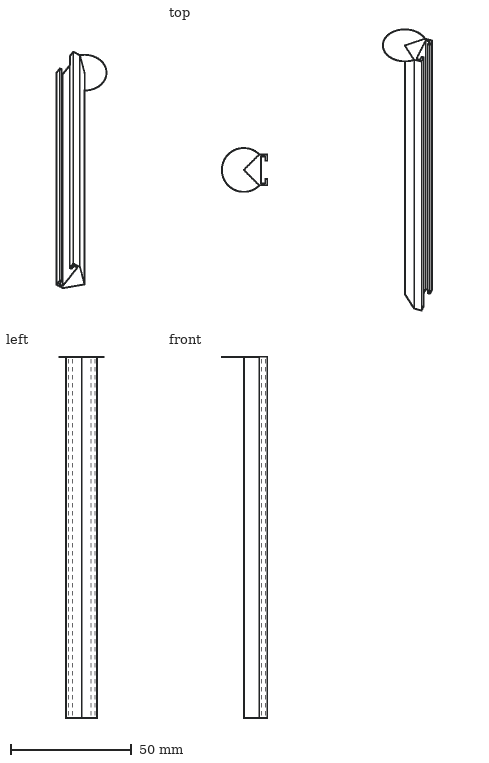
import cadquery as cq

length = 150.0
disc_radius = 9.2
disc_thickness = 0.2

half_width = 6.5
rail_depth = 9.8
channel_floor = 7.2
wall = 0.9
lip_reach = 2.7


def make_rail():
    """Extrude the symmetric section along the full length."""
    lip_inner = rail_depth - wall
    lip_tip = half_width - lip_reach
    channel_half_width = half_width - wall
    upper_half = [
        (0, 0),
        (half_width, half_width),
        (rail_depth, half_width),
        (rail_depth, lip_tip),
        (lip_inner, lip_tip),
        (lip_inner, channel_half_width),
        (channel_floor, channel_half_width),
    ]
    lower_half = [(x, -y) for x, y in reversed(upper_half[1:])]
    return cq.Workplane("XY").polyline(upper_half + lower_half).close().extrude(length)


def make_end_disc():
    """Thin disc flush with the top end, without the quarter in front of the nose."""
    disc = (
        cq.Workplane("XY", origin=(0, 0, length - disc_thickness))
        .circle(disc_radius)
        .extrude(disc_thickness)
    )
    notch = (
        cq.Workplane("XY", origin=(0, 0, length - disc_thickness))
        .polyline([(0, 0), (2 * disc_radius, 2 * disc_radius), (2 * disc_radius, -2 * disc_radius)])
        .close()
        .extrude(disc_thickness)
    )
    return disc.cut(notch)


result = make_rail().union(make_end_disc(), clean=False)